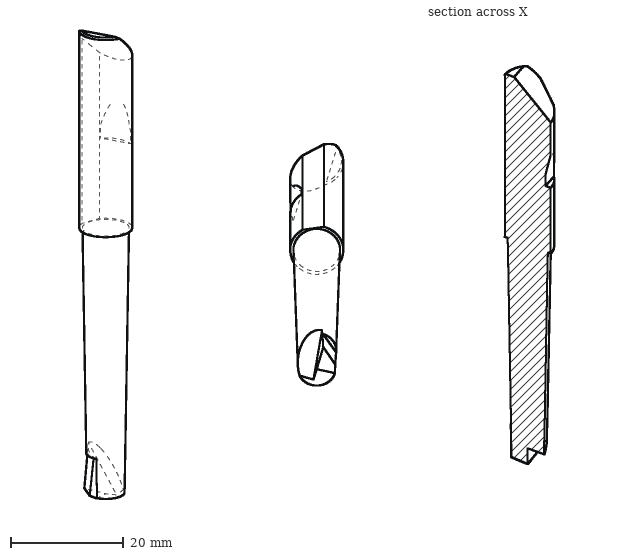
import cadquery as cq
import math

TOTAL_LENGTH = 88.9
SHANK_DIAMETER = 9.5
SHANK_RADIUS = SHANK_DIAMETER / 2
SHANK_BOTTOM = 50.85
TOP_CHAMFER = 0.4
BEVEL_START_Y = -2.8

FLAT_EDGE_Y = 3.6
NOTCH_DEPTH = 1.1
NOTCH_BOTTOM = 66.2
NOTCH_FLOOR_TOP = 68.8
NOTCH_TOP = 73.8

NECK_TOP_RADIUS = 4.2
NECK_TIP_RADIUS = 3.4
POINT_RISE = 0.3

TOOTH_HEIGHT = 7.8
TOOTH_TIP_REACH = 4.4
TOOTH_TOP_REACH = 3.65
TIP_FLANK_END_X = -1.7
TOP_FLANK_END_X = -0.6

CHIP_TOP = 9.25
CHIP_TOP_X = -3.6
CHIP_TIP_X = 2.3
CLEARANCE = 8.9


def neck_radius(z):
    return NECK_TIP_RADIUS + (NECK_TOP_RADIUS - NECK_TIP_RADIUS) * z / SHANK_BOTTOM


def make_shank():
    shank = (
        cq.Workplane("XY", origin=(0, 0, SHANK_BOTTOM))
        .circle(SHANK_RADIUS)
        .extrude(TOTAL_LENGTH - SHANK_BOTTOM)
        .faces(">Z")
        .chamfer(TOP_CHAMFER)
    )
    bevel = (
        cq.Workplane("YZ")
        .moveTo(BEVEL_START_Y, TOTAL_LENGTH)
        .lineTo(BEVEL_START_Y + CLEARANCE, TOTAL_LENGTH - CLEARANCE)
        .lineTo(BEVEL_START_Y + CLEARANCE, TOTAL_LENGTH)
        .close()
        .extrude(CLEARANCE, both=True)
    )
    flat_edge_x = -math.sqrt(SHANK_RADIUS**2 - FLAT_EDGE_Y**2)
    side_flat = (
        cq.Workplane("XY", origin=(0, 0, SHANK_BOTTOM))
        .polyline([(-SHANK_RADIUS, 0), (flat_edge_x, FLAT_EDGE_Y), (-SHANK_RADIUS, FLAT_EDGE_Y)])
        .close()
        .extrude(TOTAL_LENGTH - SHANK_BOTTOM)
    )
    notch_floor_y = SHANK_RADIUS - NOTCH_DEPTH
    clamping_notch = (
        cq.Workplane("YZ")
        .moveTo(SHANK_RADIUS, NOTCH_BOTTOM)
        .lineTo(notch_floor_y, NOTCH_BOTTOM)
        .lineTo(notch_floor_y, NOTCH_FLOOR_TOP)
        .lineTo(SHANK_RADIUS, NOTCH_TOP)
        .close()
        .extrude(CLEARANCE, both=True)
    )
    return shank.cut(bevel).cut(side_flat).cut(clamping_notch)


def make_neck():
    return (
        cq.Workplane("XZ")
        .moveTo(0, 0)
        .lineTo(neck_radius(POINT_RISE), POINT_RISE)
        .lineTo(NECK_TOP_RADIUS, SHANK_BOTTOM)
        .lineTo(0, SHANK_BOTTOM)
        .close()
        .revolve(360, (0, 0, 0), (0, 1, 0))
    )


def tooth_section(reach, flank_end_x, radius, height, slope):
    flank_end_y = -math.sqrt(radius**2 - flank_end_x**2)
    corners = [(0, 0), (-reach, 0), (flank_end_x, flank_end_y), (0, -radius)]
    points = [cq.Vector(x, y, height - slope * (x + y)) for x, y in corners]
    return cq.Wire.makePolygon(points, close=True)


def make_tooth():
    end_slope = POINT_RISE / TOOTH_TIP_REACH
    top_radius = neck_radius(TOOTH_HEIGHT)
    tip_section = tooth_section(TOOTH_TIP_REACH, TIP_FLANK_END_X, NECK_TIP_RADIUS, 0, end_slope)
    top_section = tooth_section(TOOTH_TOP_REACH, TOP_FLANK_END_X, top_radius, TOOTH_HEIGHT, 0)
    return cq.Workplane(cq.Solid.makeLoft([tip_section, top_section], True))


def make_chip_space():
    slope = (CHIP_TIP_X - CHIP_TOP_X) / CHIP_TOP
    return (
        cq.Workplane("XZ")
        .moveTo(CHIP_TIP_X, 0)
        .lineTo(-CLEARANCE, (CHIP_TIP_X + CLEARANCE) / slope)
        .lineTo(-CLEARANCE, 0)
        .close()
        .extrude(-CLEARANCE)
    )


tooth_seat = cq.Workplane("XY").box(CLEARANCE, CLEARANCE, TOOTH_HEIGHT, centered=False)
tooth_seat = tooth_seat.translate((-CLEARANCE, -CLEARANCE, 0))

neck = make_neck().cut(tooth_seat).cut(make_chip_space())
result = make_shank().union(neck).union(make_tooth())